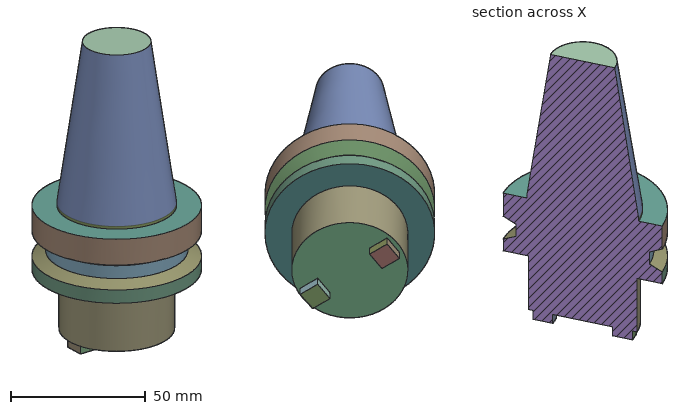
import cadquery as cq

total_height = 120.2
key_height = 4.0
flange_bottom = 27.9
groove_lower_edge = 33.3
groove_floor_bottom = 35.7
groove_floor_top = 40.9
groove_upper_edge = 43.4
flange_top = 53.8
taper_base = 54.9

flange_diameter = 63.0
groove_diameter = 52.9
body_diameter = 43.0
taper_large_diameter = 44.5
taper_small_diameter = 25.5

key_width = 7.9
key_length = 7.9
key_outer_reach = 19.7


def make_turned_body():
    """Revolve the nose, grooved flange and taper about Z."""
    body_radius = body_diameter / 2
    flange_radius = flange_diameter / 2
    groove_radius = groove_diameter / 2
    taper_radius = taper_large_diameter / 2
    half_profile = [
        (0, key_height),
        (body_radius, key_height),
        (body_radius, flange_bottom),
        (flange_radius, flange_bottom),
        (flange_radius, groove_lower_edge),
        (groove_radius, groove_floor_bottom),
        (groove_radius, groove_floor_top),
        (flange_radius, groove_upper_edge),
        (flange_radius, flange_top),
        (taper_radius, flange_top),
        (taper_radius, taper_base),
        (taper_small_diameter / 2, total_height),
        (0, total_height),
    ]
    return cq.Workplane("YZ").polyline(half_profile).close().revolve(360, (0, 0), (0, 1))


def make_drive_keys():
    """Make two opposite keys on the Y axis, reaching up to the body's end face."""
    key_center = key_outer_reach - key_length / 2
    return (
        cq.Workplane("XY")
        .pushPoints([(0, -key_center), (0, key_center)])
        .rect(key_width, key_length)
        .extrude(key_height)
    )


result = make_turned_body().union(make_drive_keys())